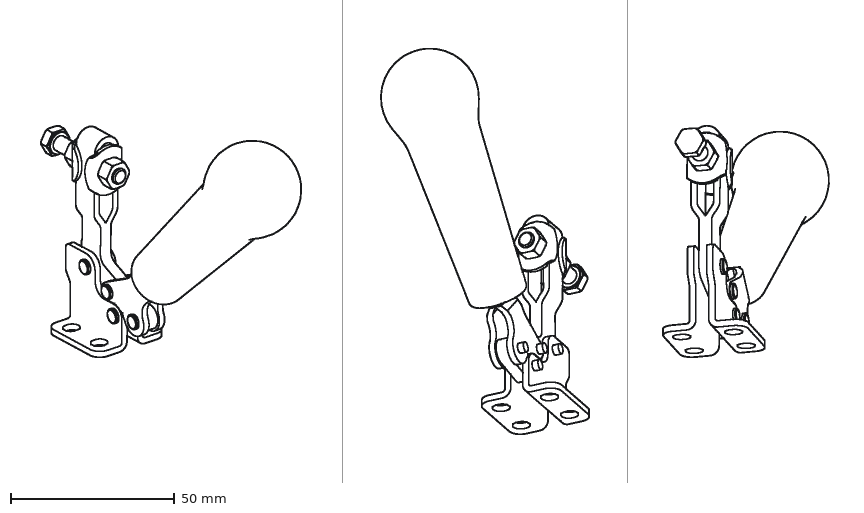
import cadquery as cq
import math


total_length = 113.3
total_height = 90.4
sheet = 2.0

arm_pivot = (21.7, 22.1)
lever_pivot = (32.5, 17.7)
link_pivot = (35.6, 10.6)
knee_pivot = (45.4, 12.3)
pin_radius = 1.6
pin_tail = 6.1
pin_head_radius = 2.4
pin_head_height = 1.0
pin_head_chamfer = 0.3

foot_front = 14.0
foot_round = 3.9
foot_back = link_pivot[0] + foot_round
foot_half_width = 13.5
foot_corner = 3.9
bend_inside = 0.9
bend_outside = bend_inside + sheet
slot_spacing = 13.6
slot_y = 8.3
slot_width = 4.8
slot_length = 5.4
bracket_nose = 11.8
nose_bottom = 17.3
nose_slope_start = 13.9
nose_corner = 1.8
notch_radius = 4.5

arm_half_width = 4.5
arm_tilt = 0.6
arm_end_radius = 4.2
arm_corner_fillet = 3.4
loop_radius = 4.6
loop_centre_z = 62.0
spread_start_z = 36.8
spread_end_z = 40.5
fold_inside = 2.5
fold_outside = fold_inside + sheet
loop_top = loop_centre_z + loop_radius

link_radius = 4.0

bolt_z = 55.7
bolt_radius = 2.5
bolt_tip_chamfer = 0.5
bolt_front = -22.1
bolt_back = 11.4
hex_flats = 8.0
hex_chamfer = 0.3
bolt_head = 3.2
bolt_collar = 0.6
bolt_collar_radius = 3.6
nut_height = 4.5
washer = 1.4
washer_radius = 8.0
washer_bend = 2.0
washer_depth = 4.3
washer_half_width = loop_radius + washer

handle_angle = 45.4
ball_radius = 30.0 / 2
ball_centre = (total_length - ball_radius, total_height - ball_radius)
lever_round = 3.0
knee_round = 4.8
knee_relief = 5.2
lever_clearance = 0.1
lever_heel = (39.5, 13.0)
neck_half_width = 5.0
neck_start = -71.9
neck_step = 1.9
neck_shoulder = 3.0
neck_shoulder_fillet = 9.1
neck_bend_drop = 0.6
tang_half_width = 4.4
handle_end = -66.8
handle_end_radius = 9.2
handle_end_fillet = 1.7
handle_top = -11.8
flare_angle = 20.0
flare_blend = 8.3
tang_depth = 5.7

angle = math.radians(handle_angle)
handle_plane = cq.Plane(
    origin=(ball_centre[0], 0, ball_centre[1]),
    xDir=(math.cos(angle), 0, math.sin(angle)),
    normal=(0, -1, 0),
)


def tangent_quad(c1, r1, c2, r2):
    """Corners of the quad between the two outer tangents of two circles."""
    dx = c2[0] - c1[0]
    dz = c2[1] - c1[1]
    heading = math.atan2(dz, dx)
    lean = math.acos((r1 - r2) / math.hypot(dx, dz))

    def rim(c, r, a):
        return (c[0] + r * math.cos(a), c[1] + r * math.sin(a))

    left = heading + lean
    right = heading - lean
    return [rim(c1, r1, left), rim(c2, r2, left), rim(c2, r2, right), rim(c1, r1, right)]


def disc(plane, centre, radius, half_thickness):
    return cq.Workplane(plane).center(*centre).circle(radius).extrude(half_thickness, both=True)


def strap(c1, r1, c2, r2):
    """Flat bar with two round ends, filling the gap between the base brackets."""
    bar = cq.Workplane("XZ").polyline(tangent_quad(c1, r1, c2, r2)).close().extrude(sheet, both=True)
    return bar.union(disc("XZ", c1, r1, sheet)).union(disc("XZ", c2, r2, sheet))


def mirrored(half):
    return half.union(half.mirror("XZ"))


def cylinder_x(x, radius, length):
    return cq.Workplane("YZ", origin=(x, 0, 0)).circle(radius).extrude(length)


def hexagon(x, height):
    """Hexagon along X with flats up and down and chamfered corners."""
    corner_radius = hex_flats / math.sqrt(3)
    body = cq.Workplane("YZ", origin=(x, 0, 0)).polygon(6, 2 * corner_radius).extrude(height)
    envelope = cylinder_x(x, corner_radius, height).edges().chamfer(hex_chamfer)
    return body.intersect(envelope)


def bracket():
    """Bracket on the +Y side: an upright plate with an outward foot."""
    length = foot_back - foot_front
    inner = sheet
    outer = 2 * sheet
    foot = (
        cq.Workplane("YZ", origin=(foot_front, 0, 0))
        .moveTo(inner, bend_outside)
        .radiusArc((inner + bend_outside, 0), -bend_outside)
        .lineTo(foot_half_width, 0)
        .lineTo(foot_half_width, sheet)
        .lineTo(outer + bend_inside, sheet)
        .radiusArc((outer, bend_outside), bend_inside)
        .close()
        .extrude(length)
    )
    foot = foot.edges("|Z and >Y").fillet(foot_corner)
    slots = (
        cq.Workplane("XY")
        .center((foot_front + foot_back) / 2, slot_y)
        .rarray(slot_spacing, 1.1, 2, 1)
        .slot2D(slot_length, slot_width, 90)
        .extrude(sheet)
    )

    ax, az = arm_pivot
    lx, lz = link_pivot
    top = az + arm_half_width
    shelf = lz + foot_round
    notch_x = ax + arm_half_width
    diag = math.sqrt(0.5)
    upright = (
        cq.Workplane("XZ", origin=(0, outer, 0))
        .moveTo(foot_front, bend_outside)
        .lineTo(foot_front, nose_slope_start)
        .lineTo(bracket_nose, nose_bottom)
        .lineTo(bracket_nose, top)
        .lineTo(ax, top)
        .threePointArc((ax + arm_half_width * diag, az + arm_half_width * diag), (notch_x, az))
        .lineTo(notch_x, shelf + notch_radius)
        .threePointArc(
            (notch_x + notch_radius * (1 - diag), shelf + notch_radius * (1 - diag)),
            (notch_x + notch_radius, shelf),
        )
        .lineTo(lx, shelf)
        .threePointArc((lx + foot_round * diag, lz + foot_round * diag), (foot_back, lz))
        .lineTo(foot_back, bend_outside)
        .close()
        .extrude(sheet)
    )
    nose_corners = [(foot_front, nose_slope_start), (bracket_nose, nose_bottom), (bracket_nose, top)]
    for x, z in nose_corners:
        corner = cq.selectors.NearestToPointSelector((x, sheet * 1.5, z))
        upright = upright.edges("|Y").edges(corner).fillet(nose_corner)
    return foot.cut(slots).union(upright)


def arm_blade():
    """Strip folded into a loop at the top, with its two legs joined lower down."""
    spread = math.atan2(loop_radius - sheet, spread_end_z - spread_start_z)
    mitre = sheet * math.tan(spread / 2)
    cavity_radius = loop_radius - sheet
    left_side = arm_pivot[0] - arm_half_width
    start = cq.Workplane("YZ", origin=(left_side, 0, 0))
    blade = (
        start.moveTo(sheet, arm_pivot[1])
        .lineTo(sheet, spread_start_z)
        .lineTo(loop_radius, spread_end_z)
        .lineTo(loop_radius, loop_centre_z)
        .threePointArc((0, loop_top), (-loop_radius, loop_centre_z))
        .lineTo(-loop_radius, spread_end_z)
        .lineTo(-sheet, spread_start_z)
        .lineTo(-sheet, arm_pivot[1])
        .close()
        .extrude(2 * arm_half_width)
    )
    cavity = (
        start.moveTo(0, spread_start_z + mitre)
        .lineTo(cavity_radius, spread_end_z + mitre)
        .lineTo(cavity_radius, loop_centre_z)
        .threePointArc((0, loop_centre_z + cavity_radius), (-cavity_radius, loop_centre_z))
        .lineTo(-cavity_radius, spread_end_z + mitre)
        .close()
        .extrude(2 * arm_half_width)
    )
    folds = [
        (sheet, spread_start_z, fold_inside),
        (loop_radius, spread_end_z, fold_outside),
        (cavity_radius, spread_end_z + mitre, fold_inside),
    ]
    blade = blade.cut(cavity)
    for y, z, radius in folds:
        for side in (-y, y):
            fold = cq.selectors.NearestToPointSelector((arm_pivot[0], side, z))
            blade = blade.edges("|X").edges(fold).fillet(radius)
    return blade


def flanged_washer():
    """Round plate on the +X side of the arm with two wings folded back over its faces."""
    outer_face = arm_half_width + washer
    channel = (
        cq.Workplane("XY")
        .center(outer_face - washer_depth / 2, 0)
        .rect(washer_depth, 2 * washer_half_width)
        .extrude(washer_radius, both=True)
        .edges("|Z and >X")
        .fillet(washer_bend)
    )
    inside = cq.Workplane("XY").box(2 * arm_half_width, 2 * loop_radius, 2 * washer_radius)
    channel = channel.cut(inside).intersect(cylinder_x(0, washer_radius, outer_face))
    wing_centre = outer_face - washer_depth + washer_radius
    wing_round = disc("XZ", (wing_centre, 0), washer_radius, washer_half_width)
    face_zone = cq.Workplane("XY").box(
        4 * arm_half_width, 2 * (washer_half_width - washer_bend), 2 * washer_radius
    )
    return channel.intersect(wing_round.union(face_zone))


def bolt_group():
    seat = arm_half_width + washer
    shank = cylinder_x(bolt_front, bolt_radius, bolt_back - bolt_front)
    shank = shank.faces(">X").chamfer(bolt_tip_chamfer)
    washer_part = flanged_washer()
    return (
        shank.union(hexagon(bolt_front, bolt_head))
        .union(cylinder_x(bolt_front + bolt_head, bolt_collar_radius, bolt_collar))
        .union(hexagon(-seat - nut_height, nut_height))
        .union(hexagon(seat, nut_height))
        .union(washer_part)
        .union(washer_part.mirror("YZ"))
        .translate((arm_pivot[0], 0, bolt_z))
    )


def arm():
    pivot = (arm_pivot[0], 0, arm_pivot[1])
    pivot_end = (arm_pivot[0], 1, arm_pivot[1])
    upper = arm_blade().union(bolt_group()).rotate(pivot, pivot_end, arm_tilt)
    lower = strap(arm_pivot, arm_half_width, lever_pivot, arm_end_radius)
    corner_x = arm_pivot[0] + arm_half_width
    corner_z = arm_pivot[1] + arm_half_width
    corner = cq.selectors.NearestToPointSelector((corner_x, 0, corner_z))
    return lower.union(upper).edges("|Y").edges(corner).fillet(arm_corner_fillet)


def in_handle_frame(point):
    local = handle_plane.toLocalCoords(cq.Vector(point[0], 0, point[1]))
    return (local.x, local.y)


def lever_plates():
    """The two flat lever plates on either side of the arm and link."""
    pivot = in_handle_frame(lever_pivot)
    knee = in_handle_frame(knee_pivot)
    shoulder = (neck_start - neck_shoulder, neck_half_width)
    relief_v = -neck_half_width - knee_relief
    relief_u = knee[0] + math.sqrt((knee_round + knee_relief) ** 2 - (relief_v - knee[1]) ** 2)
    relief = (relief_u, relief_v)
    heel = in_handle_frame(lever_heel)
    shelf_z = lever_pivot[1] - lever_round
    outline = [
        tangent_quad(pivot, lever_round, shoulder, 0)[0],
        shoulder,
        (neck_start, neck_half_width),
        (neck_start, -neck_half_width),
        (relief_u, -neck_half_width),
        relief,
        knee,
        tangent_quad(heel, 0, knee, knee_round)[2],
        heel,
        in_handle_frame((link_pivot[0], shelf_z)),
        in_handle_frame((lever_pivot[0], shelf_z)),
        pivot,
    ]
    outer = 2 * sheet
    plate = cq.Workplane(handle_plane).polyline(outline).close().extrude(outer, both=True)
    shoulder_at = handle_plane.toWorldCoords((*shoulder, 0))
    shoulder_edge = cq.selectors.NearestToPointSelector(shoulder_at)
    plate = plate.edges("|Y").edges(shoulder_edge).fillet(neck_shoulder_fillet)
    plate = (
        plate.union(disc(handle_plane, pivot, lever_round, outer))
        .union(disc(handle_plane, knee, knee_round, outer))
        .cut(disc(handle_plane, relief, knee_relief, outer))
        .cut(disc("XZ", link_pivot, foot_round + lever_clearance, outer))
    )
    return plate.cut(cq.Workplane("XY").box(4 * total_length, 2 * sheet, 4 * total_height))


def lever_neck():
    """Plates bent inward until they meet, then a narrower tang running into the handle."""
    across = cq.Plane(
        origin=handle_plane.origin,
        xDir=handle_plane.xDir,
        normal=handle_plane.yDir,
    )
    bends = [
        (neck_start, 2 * sheet),
        (neck_start + neck_step, 2 * sheet - neck_bend_drop),
        (neck_start + 2 * neck_step, sheet),
    ]
    inside = [(u, w - sheet) for u, w in reversed(bends)]
    neck = cq.Workplane(across).polyline(bends + inside).close().extrude(neck_half_width, both=True)
    tang_start = neck_start + 2 * neck_step
    tang_end = handle_end + tang_depth
    tang = (
        cq.Workplane(across)
        .center((tang_start + tang_end) / 2, 0)
        .rect(tang_end - tang_start, 2 * sheet)
        .extrude(tang_half_width, both=True)
    )
    return mirrored(neck).union(tang)


def handle():
    """Tapered grip flaring into a ball, revolved about the handle axis."""
    flare = math.radians(flare_angle)
    tangent_u = -ball_radius * math.sin(flare)
    tangent_r = ball_radius * math.cos(flare)
    grip = (
        cq.Workplane(handle_plane)
        .moveTo(handle_end, 0)
        .lineTo(handle_end, handle_end_radius)
        .lineTo(handle_top, tangent_r - (tangent_u - handle_top) * math.tan(flare))
        .lineTo(tangent_u, tangent_r)
        .threePointArc((0, ball_radius), (ball_radius, 0))
        .close()
        .revolve(360, (0, 0), (1, 0))
    )
    end_rim = cq.selectors.NearestToPointSelector(handle_plane.toWorldCoords((handle_end, 0, 0)))
    grip = grip.edges("%CIRCLE").edges(end_rim).fillet(handle_end_fillet)
    neck_rim = cq.selectors.NearestToPointSelector(handle_plane.toWorldCoords((handle_top, 0, 0)))
    return grip.edges("%CIRCLE").edges(neck_rim).fillet(flare_blend)


def pin(centre):
    x, z = centre
    head_base = -2 * sheet
    rod = cq.Workplane("XZ", origin=(x, head_base, z)).circle(pin_radius).extrude(-(pin_tail - head_base))
    head = cq.Workplane("XZ", origin=(x, head_base, z)).circle(pin_head_radius).extrude(pin_head_height)
    return rod.union(head.faces("<Y").chamfer(pin_head_chamfer))


result = mirrored(bracket())
result = result.union(strap(link_pivot, link_radius, knee_pivot, link_radius))
result = result.union(arm())
result = result.union(lever_plates()).union(lever_neck()).union(handle())
for pivot_point in (arm_pivot, lever_pivot, link_pivot, knee_pivot):
    result = result.union(pin(pivot_point))